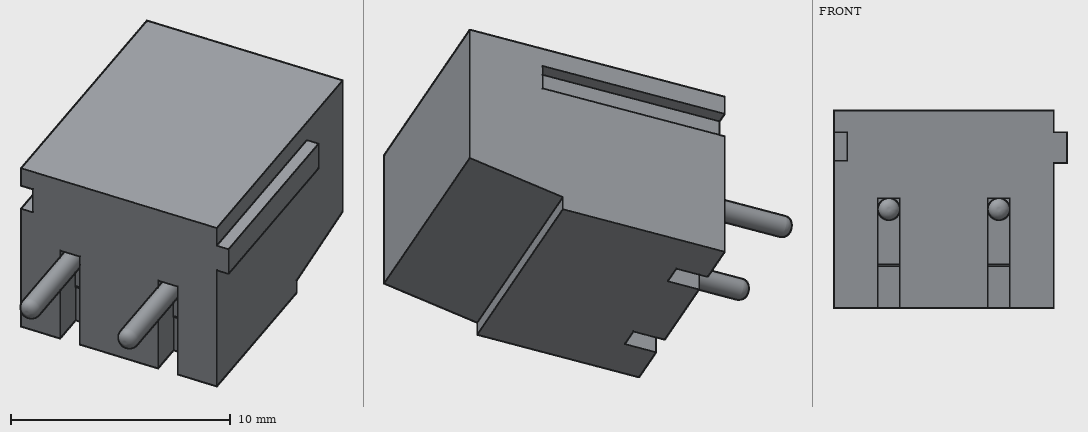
import cadquery as cq

body_width = 10.0
body_depth = 12.6
body_height = 9.0

base_depth = 8.0
relief_height_at_base = 0.7
relief_height_at_rear = 1.55

joint_top = 8.0
joint_length = 9.0
joint_reach = 0.6
rib_height = 1.4
groove_height = 1.3

pin_pitch = 5.0
pin_positions = [body_width / 2 - pin_pitch / 2, body_width / 2 + pin_pitch / 2]
pin_diameter = 1.0
pin_projection = 4.3
pin_tip_rounding = 0.4
pin_height = 4.5

slot_width = pin_diameter
slot_top = pin_height + pin_diameter / 2
slot_depth = 1.5
slot_step_height = 2.0
slot_bevel_height = 0.1
slot_bevel_depth = 0.05


def make_housing():
    """Block with a sloping relief under its rear end."""
    return (
        cq.Workplane("YZ")
        .moveTo(0, 0)
        .lineTo(base_depth, 0)
        .lineTo(base_depth, relief_height_at_base)
        .lineTo(body_depth, relief_height_at_rear)
        .lineTo(body_depth, body_height)
        .lineTo(0, body_height)
        .close()
        .extrude(body_width)
    )


def make_joint_bar(left_x, height):
    """Bar along the front of a side face, hanging from the joint's top level."""
    return cq.Workplane("XY").box(joint_reach, joint_length, height, centered=False).translate(
        (left_x, 0, joint_top - height)
    )


def make_slot(center_x):
    """Slot whose back wall steps slightly deeper, over a short bevel, near the base."""
    return (
        cq.Workplane("YZ", origin=(center_x - slot_width / 2, 0, 0))
        .moveTo(0, 0)
        .lineTo(slot_depth + slot_bevel_depth, 0)
        .lineTo(slot_depth + slot_bevel_depth, slot_step_height - slot_bevel_height)
        .lineTo(slot_depth, slot_step_height)
        .lineTo(slot_depth, slot_top)
        .lineTo(0, slot_top)
        .close()
        .extrude(slot_width)
    )


def make_pin(center_x):
    """Round pin from the slot's back wall out through the front, with a rounded tip."""
    return (
        cq.Workplane("XZ", origin=(center_x, slot_depth, pin_height))
        .circle(pin_diameter / 2)
        .extrude(slot_depth + pin_projection)
        .faces("<Y")
        .edges()
        .fillet(pin_tip_rounding)
    )


result = make_housing()
result = result.union(make_joint_bar(body_width, rib_height))
result = result.cut(make_joint_bar(0, groove_height))
for pin_x in pin_positions:
    result = result.cut(make_slot(pin_x)).union(make_pin(pin_x))